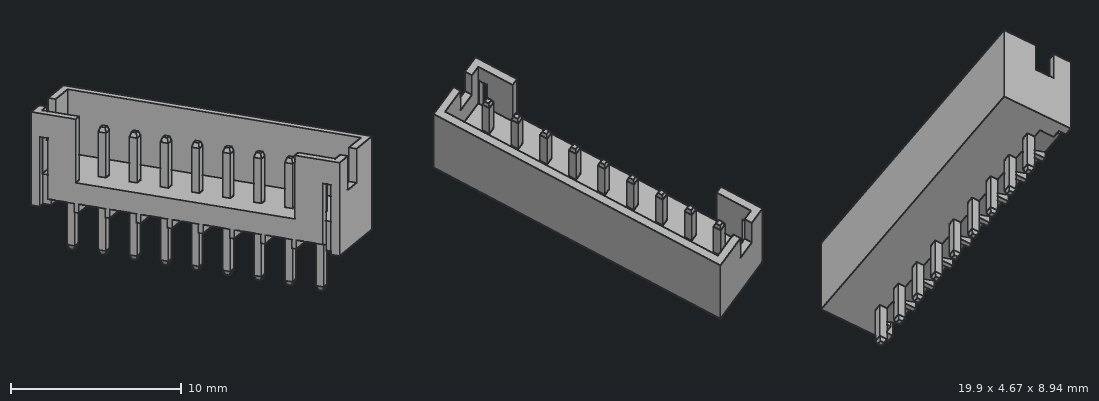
import cadquery as cq

length = 19.86
depth = 4.67
height = 5.9
wall = 0.5
floor_height = 1.89

window_margin = 2.88

notch_width = 1.25
notch_depth = 2.15
notch_front_offset = 1.2

slot_width = 0.54
slot_offset = 0.55
slot_top_drop = 1.49

pin_count = 9
pin_span = 16.0
pin_width = 0.5
pin_front_offset = 1.7
pin_top_drop = 0.9
pin_tail = 3.04
tip_height = 0.3
tip_inset = 0.1

relief_height = 0.55
rib_width = 0.3

front_y = -depth / 2
pitch = pin_span / (pin_count - 1)
pin_y = front_y + pin_front_offset
pin_xs = [-pin_span / 2 + i * pitch for i in range(pin_count)]
relief_depth = pin_front_offset - pin_width / 2


def block(x0, x1, y0, y1, z0, z1):
    """Box spanning the given limits."""
    return cq.Workplane("XY").box(x1 - x0, y1 - y0, z1 - z0, centered=False).translate((x0, y0, z0))


def make_shell():
    """Box with its cavity, front window and end notches."""
    half = length / 2
    shell = block(-half, half, front_y, front_y + depth, 0, height)
    cavity = block(
        -half + wall, half - wall,
        front_y + wall, front_y + depth - wall,
        floor_height, height,
    )
    window = block(
        -half + window_margin, half - window_margin,
        front_y, front_y + wall,
        floor_height, height,
    )
    notch_start = front_y + notch_front_offset
    notches = block(-half, half, notch_start, notch_start + notch_width, height - notch_depth, height)
    return shell.cut(cavity).cut(window).cut(notches)


def make_slot(side):
    """Slot as deep as the front wall; side is -1 for the left end, 1 for the right."""
    center_x = side * (length / 2 - slot_offset - slot_width / 2)
    return block(
        center_x - slot_width / 2, center_x + slot_width / 2,
        front_y, front_y + wall,
        0, height - slot_top_drop,
    )


def make_relief(x0, x1):
    """Wedge that slopes from the front face down to the bottom just ahead of the pins."""
    return (
        cq.Workplane("YZ", origin=(x0, 0, 0))
        .moveTo(front_y, 0)
        .lineTo(front_y + relief_depth, 0)
        .lineTo(front_y, relief_height)
        .close()
        .extrude(x1 - x0)
    )


def make_pin(x):
    """Square pin with a tapered tip at both ends."""
    shank_bottom = -pin_tail + tip_height
    shank_top = height - pin_top_drop - tip_height
    tip_width = pin_width - 2 * tip_inset
    pin = cq.Workplane("XY", origin=(x, pin_y, shank_bottom)).rect(pin_width, pin_width)
    pin = pin.extrude(shank_top - shank_bottom)
    for shank_end, direction in ((shank_bottom, -1), (shank_top, 1)):
        tip = (
            cq.Workplane("XY", origin=(x, pin_y, shank_end))
            .rect(pin_width, pin_width)
            .workplane(offset=direction * tip_height)
            .rect(tip_width, tip_width)
            .loft(ruled=True)
        )
        pin = pin.union(tip)
    return pin


result = make_shell()

for side in (-1, 1):
    result = result.cut(make_slot(side))

relief_limit = length / 2 - slot_offset - slot_width
for x in pin_xs:
    relief_start = max(x - pitch / 2 + rib_width / 2, -relief_limit)
    relief_end = min(x + pitch / 2 - rib_width / 2, relief_limit)
    result = result.cut(make_relief(relief_start, relief_end))

for x in pin_xs:
    result = result.union(make_pin(x))